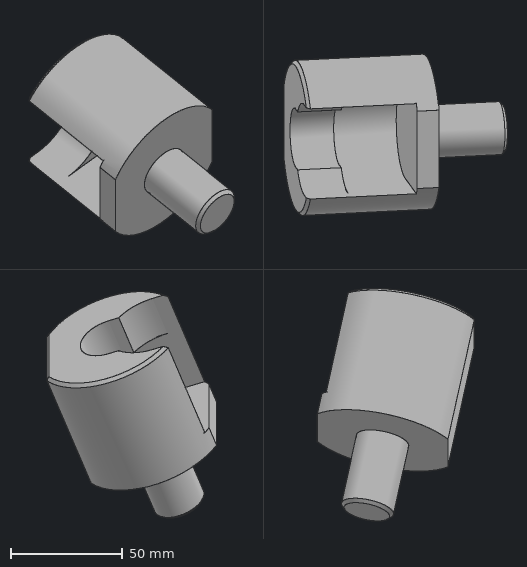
import cadquery as cq

body_length = 60.0
body_diameter = 70.0
body_width = 60.0
edge_chamfer = 1.5

total_length = 95.0
shank_diameter = 24.0

recess_depth = 50.0
lip_thickness = 19.95
wide_radius = 21.0
neck_radius = 13.5
mouth_center_y = -wide_radius


def open_slot(radius, center_y, start_x, length):
    """Round-ended slot that starts at center_y and runs out through the -Y side."""
    reach = body_diameter
    rounded_end = (
        cq.Workplane("YZ", origin=(start_x, center_y, 0)).circle(radius).extrude(length)
    )
    straight_run = cq.Workplane("XY").box(
        length, reach, 2 * radius, centered=(False, False, True)
    ).translate((start_x, center_y - reach, 0))
    return rounded_end.union(straight_run)


def make_body():
    cylinder = cq.Workplane("YZ").circle(body_diameter / 2).extrude(body_length)
    flats = cq.Workplane("XY").box(
        body_length, body_width, body_diameter, centered=(False, True, True)
    )
    return cylinder.intersect(flats).faces("<X").chamfer(edge_chamfer)


def make_shank():
    shank = cq.Workplane("YZ", origin=(body_length, 0, 0)).circle(shank_diameter / 2)
    return shank.extrude(total_length - body_length).faces(">X").chamfer(edge_chamfer)


neck = open_slot(neck_radius, 0, 0, lip_thickness)
mouth = open_slot(wide_radius, mouth_center_y, 0, lip_thickness)
wide_slot = open_slot(wide_radius, 0, lip_thickness, recess_depth - lip_thickness)

result = make_body().cut(neck).cut(mouth).cut(wide_slot).union(make_shank())